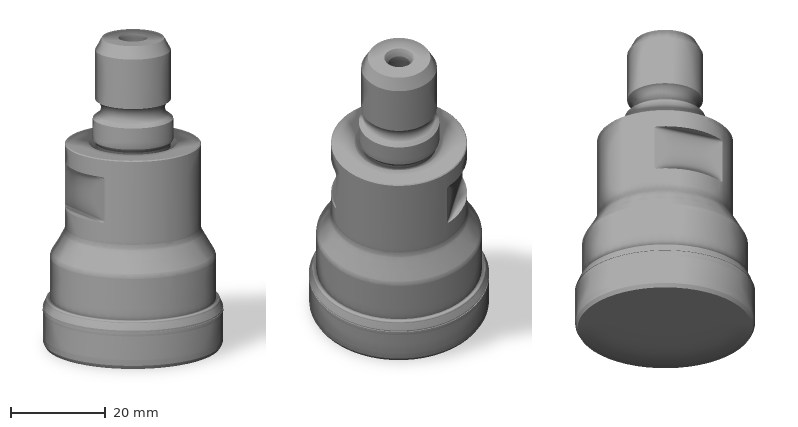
import cadquery as cq
import math

total_height = 67.45
base_radius = 38.1 / 2

bottom_chamfer_height = 0.8
bottom_face_radius = 18.5
foot_radius = 18.95
foot_top = 2.1
band_radius = 19.0
band_top = 7.3
ring_bottom = 7.7
ring_top = 8.15
ring_groove_top = 8.55
ring_groove_depth = 0.15
collar_bevel_bottom = 9.0
collar_bevel_bottom_radius = 18.9
collar_bevel_top = 10.05
collar_bevel_top_radius = 18.4
collar_top = 10.45
collar_rim_radius = collar_bevel_top_radius - (collar_top - collar_bevel_top)

skirt_radius = 35.1 / 2
barrel_radius = 28.7 / 2
shoulder_bottom = 20.0
shoulder_angle = 30.0
shoulder_round = 2.0
body_top = 44.45
body_edge_chamfer = 0.2

relief_radius = 9.4
relief_depth = 0.8
neck_radius = 7.9

land_radius = 17.0 / 2
land_bottom = 45.25
land_top = 49.9
land_bevel_radius = 7.75
land_bevel_top = 50.5
waist_radius = 6.8
waist_height = 52.6
stud_radius = 16.0 / 2
stud_bottom = 54.0
stud_chamfer_start = 64.9
stud_tip_radius = 6.6

flat_spacing = 24.0
flat_bottom = 30.5
flat_top = 40.5
flat_corner_round = 0.4

hole_mouth_diameter = 6.2
hole_diameter = 4.5
hole_bevel_depth = 1.5
hole_depth = 6.75
drill_point_angle = 118.0


def revolve(outline):
    """Turn a closed radius-height outline around the Z axis."""
    return outline.close().revolve(360, (0, 0, 0), (0, 1, 0))


def make_collar():
    groove_radius = base_radius - ring_groove_depth
    rim_round = collar_top - collar_bevel_top
    diagonal = rim_round * math.sqrt(0.5)
    rim_middle = (collar_rim_radius + diagonal, collar_bevel_top + diagonal)
    outline = (
        cq.Workplane("XZ")
        .lineTo(bottom_face_radius, 0)
        .lineTo(foot_radius, bottom_chamfer_height)
        .lineTo(band_radius, foot_top)
        .lineTo(band_radius, band_top)
        .lineTo(base_radius, ring_bottom)
        .lineTo(base_radius, ring_top)
        .lineTo(groove_radius, ring_top)
        .lineTo(groove_radius, ring_groove_top)
        .lineTo(base_radius, ring_groove_top)
        .lineTo(collar_bevel_bottom_radius, collar_bevel_bottom)
        .lineTo(collar_bevel_top_radius, collar_bevel_top)
        .threePointArc(rim_middle, (collar_rim_radius, collar_top))
        .lineTo(0, collar_top)
    )
    return revolve(outline)


def make_body():
    shoulder_height = (skirt_radius - barrel_radius) / math.tan(math.radians(shoulder_angle))
    shoulder_top = shoulder_bottom + shoulder_height
    outline = (
        cq.Workplane("XZ")
        .lineTo(skirt_radius, 0)
        .lineTo(skirt_radius, shoulder_bottom)
        .lineTo(barrel_radius, shoulder_top)
        .lineTo(barrel_radius, body_top - body_edge_chamfer)
        .lineTo(barrel_radius - body_edge_chamfer, body_top)
        .lineTo(relief_radius, body_top)
        .lineTo(neck_radius, body_top - relief_depth)
        .lineTo(0, body_top - relief_depth)
    )
    tolerance = 0.1
    shoulder_edges = cq.selectors.BoxSelector(
        (-base_radius, -base_radius, shoulder_bottom - tolerance),
        (base_radius, base_radius, shoulder_top + tolerance),
        boundingbox=True,
    )
    return revolve(outline).edges(shoulder_edges).edges("%CIRCLE").fillet(shoulder_round)


def make_stud():
    outline = (
        cq.Workplane("XZ")
        .lineTo(neck_radius, 0)
        .lineTo(neck_radius, body_top)
        .lineTo(land_radius, land_bottom)
        .lineTo(land_radius, land_top)
        .lineTo(land_bevel_radius, land_bevel_top)
        .threePointArc((waist_radius, waist_height), (stud_radius, stud_bottom))
        .lineTo(stud_radius, stud_chamfer_start)
        .lineTo(stud_tip_radius, total_height)
        .lineTo(0, total_height)
    )
    return revolve(outline)


def make_flat_cutter(side):
    """Slab beyond one wrench flat; side is +1 or -1 along Y."""
    slab_depth = base_radius
    return (
        cq.Workplane("XY")
        .box(2 * base_radius, slab_depth, flat_top - flat_bottom)
        .edges("|X")
        .edges("<Y" if side > 0 else ">Y")
        .fillet(flat_corner_round)
        .translate((0, side * (flat_spacing + slab_depth) / 2, (flat_bottom + flat_top) / 2))
    )


def make_centre_hole():
    hole_radius = hole_diameter / 2
    point_depth = hole_radius / math.tan(math.radians(drill_point_angle / 2))
    outline = (
        cq.Workplane("XZ", origin=(0, 0, total_height))
        .lineTo(hole_mouth_diameter / 2, 0)
        .lineTo(hole_radius, -hole_bevel_depth)
        .lineTo(hole_radius, -hole_depth)
        .lineTo(0, -hole_depth - point_depth)
    )
    return revolve(outline)


result = make_collar().union(make_body()).union(make_stud())
for side in (1, -1):
    result = result.cut(make_flat_cutter(side))
result = result.cut(make_centre_hole())